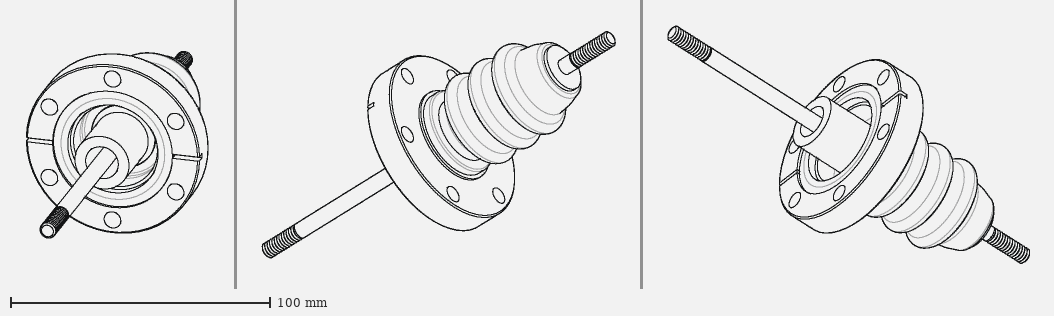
import cadquery as cq
import math


ROD_LENGTH = 184.15
ROD_RADIUS = 3.175
ROD_TOP = 97.1
ROD_BOTTOM = ROD_TOP - ROD_LENGTH
THREAD_PITCH = 1.27
THREAD_ROOT_RADIUS = 2.4
TOP_THREAD_TURNS = 15
BOTTOM_THREAD_TURNS = 14

FLANGE_RADIUS = 69.85 / 2
FLANGE_THICKNESS = 12.7
FLANGE_CHAMFER = 0.6
FLANGE_BORE_RADIUS = 18.2
FLANGE_BORE_DEPTH = 4.0
BOLT_COUNT = 6
BOLT_CIRCLE_RADIUS = 58.7 / 2
BOLT_HOLE_RADIUS = 3.35

RECESS_RADIUS = 24.15
RECESS_DEPTH = 1.2
KNIFE_RADIUS = 20.9
KNIFE_DEPTH = 0.55

GROOVE_WIDTH = 1.7
GROOVE_DEPTH = 3.8

CUFF_RIM_RADIUS = 19.05
CUFF_RIM_THICKNESS = 1.0
CUFF_RADIUS = 17.5
CUFF_INNER_RADIUS = 16.9
CUFF_TOP = 17.5
CUFF_FILLET = 0.7

TUBE_RADIUS = 10.9
TUBE_BORE_RADIUS = 6.6
TUBE_BOTTOM = -14.1
SHOULDER_RADIUS = 12.8
SHOULDER_BOTTOM = 11.6
SHOULDER_HEIGHT = 2.6

CAVITY_TOP = 16.2
CAVITY_FILLET = 0.8
CAVITY_SLOPE_DEGREES = 14

NECK_RADIUS = 13.0
CREST_RADIUS = 19.2
VALLEY_RADIUS = 14.3
CREST_COUNT = 3
CREST_PITCH = 12.7
FIRST_CREST_Y = 27.8
HEAD_RADIUS = 12.0
HEAD_FILLET = 1.3
HEAD_TOP = 70.5
HEAD_BULGE = 0.5

CAP_RADIUS = 9.5
CAP_TOP = 72.0


def revolve(profile):
    """Revolve a closed (radius, Y) profile about the Y axis."""
    return profile.close().revolve(360, (0, 0, 0), (0, 1, 0))


def cylinder(radius, bottom, top):
    """Solid cylinder about the Y axis between two Y levels."""
    profile = cq.Workplane("XY").moveTo(0, bottom).lineTo(radius, bottom).lineTo(radius, top).lineTo(0, top)
    return revolve(profile)


def add_wave(profile, start, end):
    """Join a crest and a valley, either way round, by two equal tangent arcs."""
    rise = end[0] - start[0]
    run = end[1] - start[1]
    middle = ((start[0] + end[0]) / 2, (start[1] + end[1]) / 2)
    arc_radius = (rise**2 + run**2) / (4 * abs(rise))
    half_angle = math.asin(run / 2 / arc_radius) / 2
    along = arc_radius * math.sin(half_angle)
    across = math.copysign(arc_radius * (1 - math.cos(half_angle)), rise)
    profile = profile.threePointArc((start[0] + across, start[1] + along), middle)
    return profile.threePointArc((end[0] - across, end[1] - along), end)


def make_insulator():
    """Solid ribbed body from the cuff up to the rounded top of the head."""
    half_pitch = CREST_PITCH / 2
    neck_end = (NECK_RADIUS, FIRST_CREST_Y - half_pitch)
    profile = (
        cq.Workplane("XY")
        .moveTo(0, CUFF_TOP)
        .lineTo(NECK_RADIUS, CUFF_TOP)
        .lineTo(*neck_end)
    )
    valley = neck_end
    for index in range(CREST_COUNT):
        crest = (CREST_RADIUS, FIRST_CREST_Y + index * CREST_PITCH)
        profile = add_wave(profile, valley, crest)
        valley = (VALLEY_RADIUS, crest[1] + half_pitch)
        profile = add_wave(profile, crest, valley)
    profile = (
        profile
        .sagittaArc((HEAD_RADIUS, HEAD_TOP - HEAD_FILLET), -HEAD_BULGE)
        .radiusArc((HEAD_RADIUS - HEAD_FILLET, HEAD_TOP), -HEAD_FILLET)
        .lineTo(0, HEAD_TOP)
    )
    return revolve(profile)


def make_tube():
    """Inner tube that widens through a steep conical shoulder into the neck."""
    shoulder_top = SHOULDER_BOTTOM + SHOULDER_HEIGHT
    profile = (
        cq.Workplane("XY")
        .moveTo(0, TUBE_BOTTOM)
        .lineTo(TUBE_RADIUS, TUBE_BOTTOM)
        .lineTo(TUBE_RADIUS, SHOULDER_BOTTOM)
        .lineTo(SHOULDER_RADIUS, shoulder_top)
        .lineTo(SHOULDER_RADIUS, CUFF_TOP)
        .lineTo(0, CUFF_TOP)
    )
    return revolve(profile)


def make_cuff():
    """Thin cup, open towards the flange, with a slightly conical inner ceiling."""
    rim_top = FLANGE_THICKNESS + CUFF_RIM_THICKNESS
    ceiling_radius = CUFF_INNER_RADIUS - CAVITY_FILLET
    ceiling_drop = (ceiling_radius - SHOULDER_RADIUS) * math.tan(math.radians(CAVITY_SLOPE_DEGREES))
    profile = (
        cq.Workplane("XY")
        .moveTo(CUFF_INNER_RADIUS, FLANGE_THICKNESS)
        .lineTo(CUFF_RIM_RADIUS, FLANGE_THICKNESS)
        .lineTo(CUFF_RIM_RADIUS, rim_top)
        .lineTo(CUFF_RADIUS, rim_top)
        .lineTo(CUFF_RADIUS, CUFF_TOP - CUFF_FILLET)
        .radiusArc((CUFF_RADIUS - CUFF_FILLET, CUFF_TOP), -CUFF_FILLET)
        .lineTo(SHOULDER_RADIUS, CUFF_TOP)
        .lineTo(SHOULDER_RADIUS, CAVITY_TOP - ceiling_drop)
        .lineTo(ceiling_radius, CAVITY_TOP)
        .radiusArc((CUFF_INNER_RADIUS, CAVITY_TOP - CAVITY_FILLET), CAVITY_FILLET)
    )
    return revolve(profile)


def make_flange():
    """Bolted flange with a stepped bore, knife-edge recess and two grooves."""
    flange = cylinder(FLANGE_RADIUS, 0, FLANGE_THICKNESS).edges().chamfer(FLANGE_CHAMFER)
    recess = revolve(
        cq.Workplane("XY")
        .moveTo(0, 0)
        .lineTo(RECESS_RADIUS, 0)
        .lineTo(RECESS_RADIUS, RECESS_DEPTH)
        .lineTo(KNIFE_RADIUS, KNIFE_DEPTH)
        .lineTo(0, KNIFE_DEPTH)
    )
    flange = flange.cut(recess).cut(cylinder(FLANGE_BORE_RADIUS, 0, FLANGE_BORE_DEPTH))
    flange = flange.cut(cylinder(CUFF_INNER_RADIUS, 0, FLANGE_THICKNESS))
    bolt_hole = cylinder(BOLT_HOLE_RADIUS, 0, FLANGE_THICKNESS).translate((0, 0, BOLT_CIRCLE_RADIUS))
    for index in range(BOLT_COUNT):
        angle = index * 360 / BOLT_COUNT
        flange = flange.cut(bolt_hole.rotate((0, 0, 0), (0, 1, 0), angle))
    groove_length = FLANGE_RADIUS - RECESS_RADIUS
    groove_centre = (FLANGE_RADIUS + RECESS_RADIUS) / 2
    groove = cq.Workplane("XY").box(groove_length, GROOVE_DEPTH, GROOVE_WIDTH)
    for side in (-1, 1):
        flange = flange.cut(groove.translate((side * groove_centre, GROOVE_DEPTH / 2, 0)))
    return flange


def add_thread(profile, start, turns):
    """Continue the rod outline through ring-shaped V threads, rising from start."""
    for turn in range(turns):
        root = start + turn * THREAD_PITCH
        profile = profile.lineTo(THREAD_ROOT_RADIUS, root)
        profile = profile.lineTo(ROD_RADIUS, root + THREAD_PITCH / 2)
    return profile.lineTo(THREAD_ROOT_RADIUS, start + turns * THREAD_PITCH)


def make_rod():
    """Conductor rod threaded at both ends."""
    top_thread_start = ROD_TOP - TOP_THREAD_TURNS * THREAD_PITCH
    bottom_thread_end = ROD_BOTTOM + BOTTOM_THREAD_TURNS * THREAD_PITCH
    profile = cq.Workplane("XY").moveTo(0, ROD_BOTTOM)
    profile = add_thread(profile, ROD_BOTTOM, BOTTOM_THREAD_TURNS)
    profile = profile.lineTo(ROD_RADIUS, bottom_thread_end).lineTo(ROD_RADIUS, top_thread_start)
    profile = add_thread(profile, top_thread_start, TOP_THREAD_TURNS)
    return revolve(profile.lineTo(0, ROD_TOP))


ceramic = make_insulator().union(make_tube()).cut(cylinder(TUBE_BORE_RADIUS, TUBE_BOTTOM, HEAD_TOP))
cap = cylinder(CAP_RADIUS, HEAD_TOP, CAP_TOP)
result = make_flange().union(make_cuff()).union(ceramic).union(cap).union(make_rod())